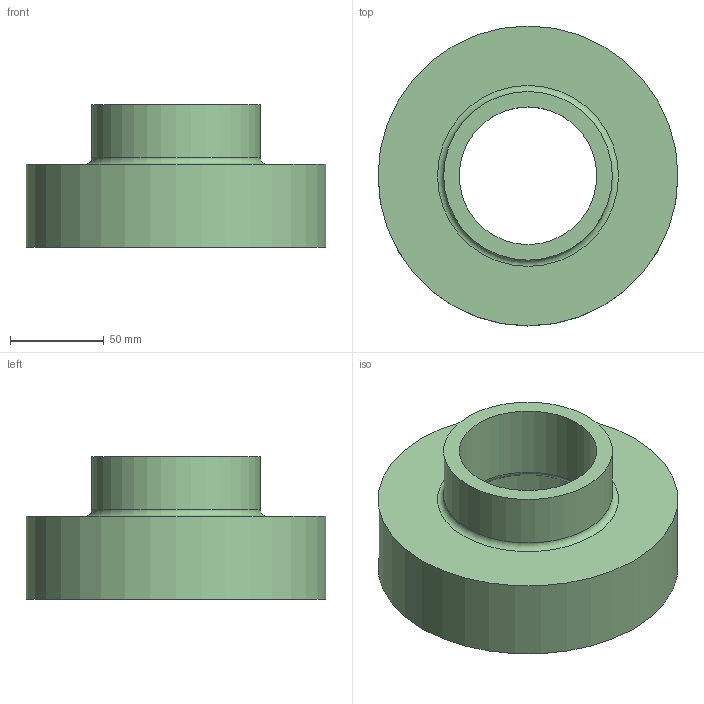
import cadquery as cq

flange_diameter = 160.02
flange_thickness = 44.45
total_height = 76.2
hub_diameter = 90.0
bore_diameter = 73.46
cavity_diameter = 132.0
web_thickness = 11.43
fillet_radius = 3.3

flange_radius = flange_diameter / 2
hub_radius = hub_diameter / 2
bore_radius = bore_diameter / 2
cavity_radius = cavity_diameter / 2
cavity_depth = flange_thickness - web_thickness


def flanged_hub():
    """Hollow flange and bored hub, revolved about Z from one half section."""
    half_section = (
        cq.Workplane("XZ")
        .moveTo(cavity_radius, 0)
        .lineTo(flange_radius, 0)
        .lineTo(flange_radius, flange_thickness)
        .lineTo(hub_radius + fillet_radius, flange_thickness)
        .radiusArc((hub_radius, flange_thickness + fillet_radius), fillet_radius)
        .lineTo(hub_radius, total_height)
        .lineTo(bore_radius, total_height)
        .lineTo(bore_radius, cavity_depth + fillet_radius)
        .radiusArc((bore_radius + fillet_radius, cavity_depth), -fillet_radius)
        .lineTo(cavity_radius, cavity_depth)
        .close()
    )
    axis_start = (0, 0, 0)
    axis_end = (0, 1, 0)
    return half_section.revolve(360, axis_start, axis_end)


result = flanged_hub()